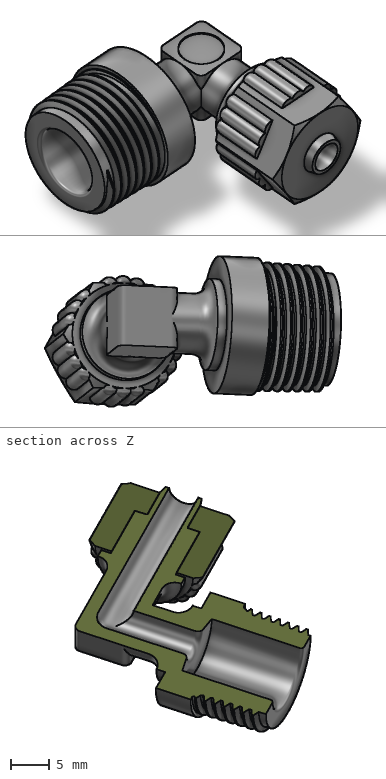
import cadquery as cq
import math


NUT_SIDES = 6
NUT_ACROSS_FLATS = 14.0
NUT_APOTHEM = NUT_ACROSS_FLATS / 2
NUT_CORNER_RADIUS = NUT_APOTHEM / math.cos(math.pi / NUT_SIDES)
NUT_START = 10.25
NUT_END = 22.05
NUT_LENGTH = NUT_END - NUT_START
NUT_FACE_RADIUS = 6.98
NUT_CHAMFER_DEG = 30
NUT_CHAMFER_LENGTH = (NUT_CORNER_RADIUS - NUT_FACE_RADIUS) * math.tan(math.radians(NUT_CHAMFER_DEG))
RIB_RADIUS = 1.1
RIB_ROUNDING = 0.85
RIB_END = 17.95
RIB_LENGTH = RIB_END - NUT_START
RIB_SPACING_DEG = 15
FLAT_SPACING_DEG = 360 // NUT_SIDES

TOTAL_LENGTH_Y = 33.08
BLOCK_SIZE = 7.97
BLOCK_HALF = BLOCK_SIZE / 2
BLOCK_CORNER_RADIUS = 1.0
MARK_RECESS_RADIUS = 3.0
MARK_RECESS_DEPTH = 0.2
NECK_RADIUS = BLOCK_HALF
FLANGE_RADIUS = 6.0
FLANGE_WIDTH = 1.22
FLANGE_OUTER_FACE = 10.0
FLANGE_INNER_FACE = FLANGE_OUTER_FACE - FLANGE_WIDTH
HOSE_FLARE = 1.8
THREADED_FLARE = FLANGE_RADIUS - NECK_RADIUS

SPIGOT_RADIUS = 4.65
SPIGOT_END = RIB_END
NOZZLE_RADIUS = 2.9
NOZZLE_TIP_RADIUS = 2.58
NOZZLE_TIP = 23.3
HOSE_BORE_RADIUS = 2.05

COLLAR_RADIUS = 9.0
COLLAR_END = 15.0
THREADED_END = TOTAL_LENGTH_Y - NUT_CORNER_RADIUS
THREAD_TAPER = 1 / 32
CORE_END_RADIUS = 7.38
RUNOUT_END = 16.15
RUNOUT_RADIUS = 8.45
BORE_RADIUS = 4.8
BORE_MOUTH_ROUNDING = 0.45
BORE_BOTTOM = 12.0
BORE_THROAT_ROUNDING = 0.83
BORE_THROAT_RADIUS = HOSE_BORE_RADIUS + BORE_THROAT_ROUNDING
BORE_BOTTOM_SLOPE_DEG = 9
BORE_CONE_LENGTH = (BORE_RADIUS - BORE_THROAT_RADIUS) * math.tan(math.radians(BORE_BOTTOM_SLOPE_DEG))
BORE_THROAT = BORE_BOTTOM - BORE_CONE_LENGTH

THREAD_TURNS = 7
THREAD_RISE = 9.35
THREAD_PITCH = THREAD_RISE / THREAD_TURNS
THREAD_START = 24.1
THREAD_DEPTH = 0.8
THREAD_ROOT_SINK = 0.13
THREAD_CREST_WIDTH = 0.23
THREAD_FLANK_DEG = 27.5
THREAD_LEAD_IN_DEG = 20


def core_radius(distance):
    """Radius of the tapered thread core at a distance from the origin along -Y."""
    return CORE_END_RADIUS + (THREADED_END - distance) * THREAD_TAPER


def make_block():
    block = cq.Workplane("XY").box(BLOCK_SIZE, BLOCK_SIZE, BLOCK_SIZE)
    return block.edges("|Z").fillet(BLOCK_CORNER_RADIUS)


def make_mark_recess():
    """Shallow round recess in the top face of the block."""
    floor = cq.Workplane("XY").workplane(offset=BLOCK_HALF - MARK_RECESS_DEPTH)
    return floor.circle(MARK_RECESS_RADIUS).extrude(MARK_RECESS_DEPTH)


def flare_middle(flare):
    """Middle of the concave flare from neck to flange, as (distance, radius)."""
    reach = flare * math.sqrt(0.5)
    return FLANGE_INNER_FACE - flare + reach, NECK_RADIUS + flare - reach


def make_hose_branch():
    """Neck, flange, spigot and nozzle, revolved about X."""
    profile = (
        cq.Workplane("XY")
        .lineTo(0, NECK_RADIUS)
        .lineTo(FLANGE_INNER_FACE - HOSE_FLARE, NECK_RADIUS)
        .threePointArc(flare_middle(HOSE_FLARE), (FLANGE_INNER_FACE, NECK_RADIUS + HOSE_FLARE))
        .lineTo(FLANGE_INNER_FACE, FLANGE_RADIUS)
        .lineTo(FLANGE_OUTER_FACE, FLANGE_RADIUS)
        .lineTo(FLANGE_OUTER_FACE, SPIGOT_RADIUS)
        .lineTo(SPIGOT_END, SPIGOT_RADIUS)
        .lineTo(SPIGOT_END, NOZZLE_RADIUS)
        .lineTo(NUT_END, NOZZLE_RADIUS)
        .lineTo(NOZZLE_TIP, NOZZLE_TIP_RADIUS)
        .lineTo(NOZZLE_TIP, 0)
        .close()
    )
    return profile.revolve(360, (0, 0, 0), (1, 0, 0))


def make_threaded_branch():
    """Neck, flange, collar and tapered thread core, revolved about Y."""
    flare_distance, flare_radius = flare_middle(THREADED_FLARE)
    profile = (
        cq.Workplane("XY")
        .lineTo(NECK_RADIUS, 0)
        .lineTo(NECK_RADIUS, THREADED_FLARE - FLANGE_INNER_FACE)
        .threePointArc((flare_radius, -flare_distance), (FLANGE_RADIUS, -FLANGE_INNER_FACE))
        .lineTo(FLANGE_RADIUS, -FLANGE_OUTER_FACE)
        .lineTo(COLLAR_RADIUS, -FLANGE_OUTER_FACE)
        .lineTo(COLLAR_RADIUS, -COLLAR_END)
        .lineTo(RUNOUT_RADIUS, -COLLAR_END)
        .lineTo(core_radius(RUNOUT_END), -RUNOUT_END)
        .lineTo(CORE_END_RADIUS, -THREADED_END)
        .lineTo(0, -THREADED_END)
        .close()
    )
    return profile.revolve(360, (0, 0, 0), (0, 1, 0))


def thread_section(sink):
    """Corners (radius, axial offset) of the ridge section at its start, pushed inward by sink."""
    start_radius = core_radius(THREAD_START)
    height = THREAD_DEPTH + THREAD_ROOT_SINK
    crest_half = THREAD_CREST_WIDTH / 2
    root_half = crest_half + height * math.tan(math.radians(THREAD_FLANK_DEG))
    root = start_radius - THREAD_ROOT_SINK - sink
    crest = root + height
    return [(root, -root_half), (crest, -crest_half), (crest, crest_half), (root, root_half)]


def thread_helix(radius, offset):
    """Conical helix about Z, widening upward with the thread taper."""
    helix = cq.Wire.makeHelix(
        THREAD_PITCH,
        THREAD_RISE,
        radius,
        angle=math.degrees(math.atan(THREAD_TAPER)),
    )
    return helix.translate(cq.Vector(0, 0, offset))


def section_wire(corners):
    return cq.Wire.makePolygon([cq.Vector(radius, 0, offset) for radius, offset in corners], close=True)


def cap_face(points):
    return cq.Face.makeFromWires(cq.Wire.makePolygon(points, close=True))


def make_thread():
    """Thread ridge with its lead-in, built about Z and then laid along the threaded branch."""
    corners = thread_section(0)
    helices = [thread_helix(radius, offset) for radius, offset in corners]
    sides = [cq.Face.makeRuledSurface(helices[i - 1], helices[i]) for i in range(len(helices))]
    start_cap = cap_face([helix.startPoint() for helix in helices])
    end_cap = cap_face([helix.endPoint() for helix in helices])
    ridge = cq.Solid.makeSolid(cq.Shell.makeShell(sides + [start_cap, end_cap]))

    lead_in_end = section_wire(thread_section(THREAD_DEPTH))
    lead_in_end = lead_in_end.rotate(cq.Vector(0, 0, 0), cq.Vector(0, 0, 1), -THREAD_LEAD_IN_DEG)
    lead_in = cq.Solid.makeLoft([lead_in_end, section_wire(corners)], True)

    thread = cq.Workplane(ridge).union(cq.Workplane(lead_in))
    thread = thread.rotate((0, 0, 0), (1, 0, 0), -90)
    return thread.translate((0, -THREAD_START, 0))


def make_bores():
    """Threaded-side bore, narrowing to a round elbow, and the hose bore."""
    throat_reach = BORE_THROAT_ROUNDING * (1 - math.sqrt(0.5))
    mouth_reach = BORE_MOUTH_ROUNDING * (1 - math.sqrt(0.5))
    threaded_bore = (
        cq.Workplane("XY")
        .lineTo(HOSE_BORE_RADIUS, 0)
        .lineTo(HOSE_BORE_RADIUS, BORE_THROAT_ROUNDING - BORE_THROAT)
        .threePointArc(
            (HOSE_BORE_RADIUS + throat_reach, throat_reach - BORE_THROAT),
            (BORE_THROAT_RADIUS, -BORE_THROAT),
        )
        .lineTo(BORE_RADIUS, -BORE_BOTTOM)
        .lineTo(BORE_RADIUS, BORE_MOUTH_ROUNDING - THREADED_END)
        .threePointArc(
            (BORE_RADIUS + mouth_reach, mouth_reach - THREADED_END),
            (BORE_RADIUS + BORE_MOUTH_ROUNDING, -THREADED_END),
        )
        .lineTo(0, -THREADED_END)
        .close()
        .revolve(360, (0, 0, 0), (0, 1, 0))
    )
    hose_bore = cq.Workplane("YZ").circle(HOSE_BORE_RADIUS).extrude(NOZZLE_TIP)
    elbow = cq.Workplane("XY").sphere(HOSE_BORE_RADIUS)
    return threaded_bore.union(hose_bore).union(elbow)


def make_elbow():
    elbow = make_block().union(make_hose_branch()).union(make_threaded_branch())
    return elbow.union(make_thread()).cut(make_mark_recess()).cut(make_bores())


def make_nut_blank():
    """Hexagon with corners along Y, its corners bevelled at both ends."""
    hexagon = (
        cq.Workplane("YZ")
        .workplane(offset=NUT_START)
        .polygon(NUT_SIDES, 2 * NUT_CORNER_RADIUS)
        .extrude(NUT_LENGTH)
    )
    bevels = (
        cq.Workplane("XY")
        .moveTo(NUT_START, 0)
        .lineTo(NUT_START, NUT_FACE_RADIUS)
        .lineTo(NUT_START + NUT_CHAMFER_LENGTH, NUT_CORNER_RADIUS)
        .lineTo(NUT_END - NUT_CHAMFER_LENGTH, NUT_CORNER_RADIUS)
        .lineTo(NUT_END, NUT_FACE_RADIUS)
        .lineTo(NUT_END, 0)
        .close()
        .revolve(360, (0, 0, 0), (1, 0, 0))
    )
    return hexagon.intersect(bevels)


def make_grip_rib(angle):
    """Rounded rib lying along a flat, at an angle about X from +Z."""
    rib = (
        cq.Workplane("YZ")
        .workplane(offset=NUT_START)
        .center(0, NUT_APOTHEM)
        .circle(RIB_RADIUS)
        .extrude(RIB_LENGTH)
        .faces("<X")
        .edges()
        .fillet(RIB_ROUNDING)
    )
    return rib.rotate((0, 0, 0), (1, 0, 0), angle)


def make_nut():
    nut = make_nut_blank()
    for flat_angle in range(0, 360, FLAT_SPACING_DEG):
        for rib_offset in (-RIB_SPACING_DEG, 0, RIB_SPACING_DEG):
            nut = nut.union(make_grip_rib(flat_angle + rib_offset))
    nozzle_hole = cq.Workplane("YZ").circle(NOZZLE_RADIUS).extrude(NUT_END)
    spigot_hole = cq.Workplane("YZ").circle(SPIGOT_RADIUS).extrude(SPIGOT_END)
    return nut.cut(nozzle_hole).cut(spigot_hole)


elbow = make_elbow()
nut = make_nut()
result = cq.Compound.makeCompound([elbow.val(), nut.val()])